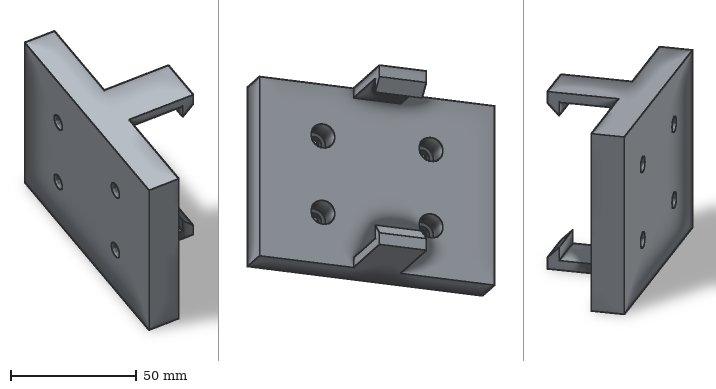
import cadquery as cq

plate_width = 100.0
plate_height = 75.8
total_depth = 43.2
plate_thickness = 13.7

arm_width = 20.0
arm_thickness = 4.1
hook_length = 4.9
hook_nose_height = 4.9
hook_tip_height = hook_nose_height + hook_length

hole_diameter = 6.5
hole_spacing_x = 46.0
hole_spacing_z = 32.3
counterbore_diameter = 10.0
counterbore_floor = 3.0
counterbore_depth = plate_thickness - counterbore_floor


def make_plate():
    return cq.Workplane("XY").box(
        plate_width, plate_thickness, plate_height, centered=(True, False, True)
    )


def make_top_arm():
    """Arm flush with the top edge, with a barbed hook pointing down."""
    top = plate_height / 2
    hook_back = total_depth - hook_length
    outline = [
        (plate_thickness, top),
        (total_depth, top),
        (total_depth, top - hook_nose_height),
        (hook_back, top - hook_tip_height),
        (hook_back, top - arm_thickness),
        (plate_thickness, top - arm_thickness),
    ]
    return cq.Workplane("YZ").polyline(outline).close().extrude(arm_width / 2, both=True)


def add_counterbored_holes(body):
    """Four holes through the plate, counterbored on its arm side."""
    return (
        body.faces(">Y")
        .workplane(centerOption="CenterOfBoundBox")
        .rarray(hole_spacing_x, hole_spacing_z, 2, 2)
        .cboreHole(hole_diameter, counterbore_diameter, counterbore_depth, depth=plate_thickness)
    )


top_arm = make_top_arm()
bottom_arm = top_arm.mirror("XY")
plate = add_counterbored_holes(make_plate())
result = plate.union(top_arm).union(bottom_arm)